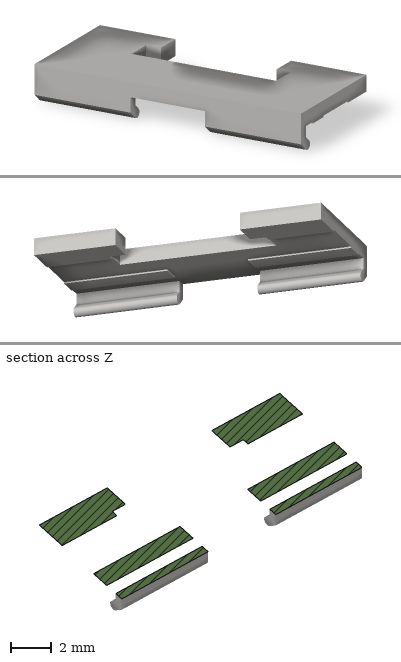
import cadquery as cq
import math

length = 15.0
depth = 6.6
height = 2.08

web_thickness = 0.8
pad_thickness = 0.88
front_pad_start = 1.2
front_pad_end = 2.27
rear_pad_start = 4.75

wall_thickness = 0.5
wall_height = 1.6
finger_angle = math.radians(40)
finger_thickness = 0.5

notch_width = 4.2

mouth_width = 6.5
lip_depth = 1.48
slot_width = 8.15
slot_floor = 3.65


def make_profile():
    """Side profile in the YZ plane: plate, pads and hook, extruded over the full length."""
    tip_radius = finger_thickness / 2
    sin_a = math.sin(finger_angle)
    cos_a = math.cos(finger_angle)

    tip_z = tip_radius - height
    tip_y = (tip_radius - (tip_z + wall_height) * cos_a) / sin_a

    outer_tangent = (tip_y - tip_radius * sin_a, tip_z - tip_radius * cos_a)
    tip_end = (tip_y + tip_radius * cos_a, tip_z - tip_radius * sin_a)
    inner_tangent = (tip_y + tip_radius * sin_a, tip_z + tip_radius * cos_a)
    inner_corner_z = inner_tangent[1] + (inner_tangent[0] - wall_thickness) * math.tan(finger_angle)

    return (
        cq.Workplane("YZ", origin=(-length / 2, 0, 0))
        .moveTo(0, 0)
        .lineTo(0, -wall_height)
        .lineTo(*outer_tangent)
        .threePointArc(tip_end, inner_tangent)
        .lineTo(wall_thickness, inner_corner_z)
        .lineTo(wall_thickness, -web_thickness)
        .lineTo(front_pad_start, -web_thickness)
        .lineTo(front_pad_start, -pad_thickness)
        .lineTo(front_pad_end, -pad_thickness)
        .lineTo(front_pad_end, -web_thickness)
        .lineTo(rear_pad_start, -web_thickness)
        .lineTo(rear_pad_start, -pad_thickness)
        .lineTo(depth, -pad_thickness)
        .lineTo(depth, 0)
        .close()
        .extrude(length)
    )


def centred_cutter(width, y_start, y_end, z_top):
    """Box centred on X that reaches from z_top down to the bottom of the part."""
    return (
        cq.Workplane("XY", origin=(0, (y_start + y_end) / 2, z_top))
        .rect(width, y_end - y_start)
        .extrude(-(height + z_top))
    )


notch = centred_cutter(notch_width, 0, depth, -web_thickness)
slot = centred_cutter(slot_width, slot_floor, depth - lip_depth, 0)
mouth = centred_cutter(mouth_width, slot_floor, depth, 0)

result = make_profile().cut(notch).cut(slot).cut(mouth)